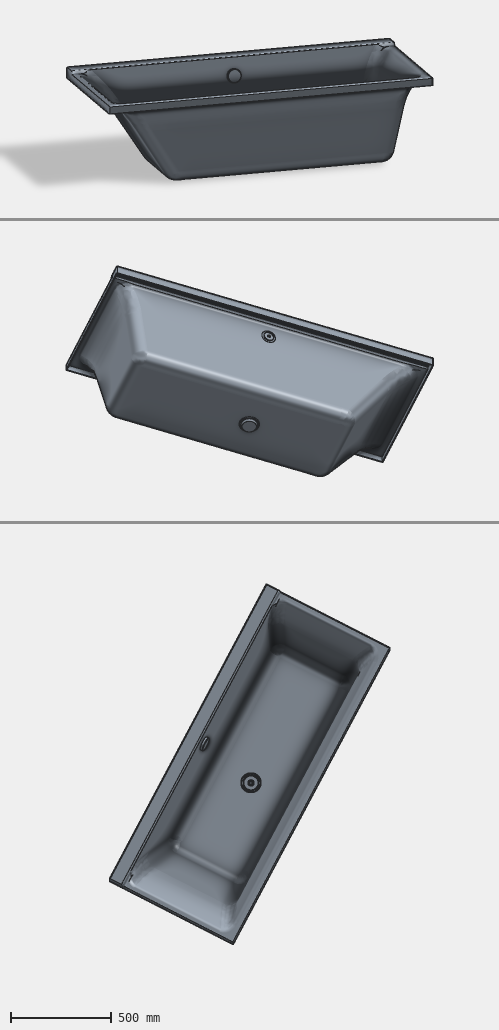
import cadquery as cq
import math

LENGTH = 1700.1
WIDTH = 700.25
DECK_TOP = 495.0
RIM_TOP = 478.0
SKIRT_BOTTOM = 437.0
WALL = 5.0
FLOOR = 19.0
SEAM = 305.0
FORM_TOP = 490.0

LEFT = -WIDTH / 2
RIGHT = WIDTH / 2
FOOT = -LENGTH / 2
HEAD = LENGTH / 2

LEFT_AT_FLOOR, LEFT_AT_RIM = 140.0, 79.5
RIGHT_AT_FLOOR, RIGHT_AT_SEAM, RIGHT_FLARE = 123.0, 94.0, 468.0
HEAD_AT_FLOOR, HEAD_AT_SEAM, HEAD_FLARE = 167.0, 113.0, 432.0
FOOT_AT_FLOOR, FOOT_AT_SEAM, FOOT_FLARE = 371.0, 189.0, 671.0

BASIN_ROUND = 61.0
LIP_ROUND = 30.0

DECK_EDGE_ROUND = 10.0
RIGHT_EDGE_ROUND = 8.0
SKIRT_CORNER_ROUND = 5.0
DECK_FLAT = 68.0
DECK_STEP_END = 93.0

DRAIN_X = LEFT + 357.0
DRAIN_TOP_DIAMETER = 102.0
DRAIN_BOTTOM_DIAMETER = 72.0
DISH_DIAMETER = 82.0
DISH_DEPTH = 5.0
PLUG_DIAMETER = 72.0
PLUG_HEIGHT = 2.0
PLUG_GROOVE_OUTER = 32.0
PLUG_GROOVE_INNER = 24.0
PLUG_GROOVE_DEPTH = 3.0
PLUG_BORE = 14.5
PLUG_BORE_DEPTH = 6.0

OVERFLOW_Z = 397.0
OVERFLOW_CAP_DIAMETER = 72.0
OVERFLOW_CAP_THICKNESS = 15.0
OVERFLOW_CAP_CHAMFER = 3.0
OVERFLOW_BODY_DIAMETER = 52.0
OVERFLOW_BORE = 14.5
OVERFLOW_BORE_DEPTH = 12.0


def tall_box(x_min, x_max, y_min, y_max, z_min, z_max):
    """An axis-aligned box between the given limits."""
    size = (x_max - x_min, y_max - y_min, z_max - z_min)
    return cq.Workplane("XY").box(*size, centered=False).translate((x_min, y_min, z_min))


def flared_wall(at_floor, at_seam, flare, offset):
    """Wall points as (distance from rim edge, height): foot, seam, arc middle and top.

    The wall leans straight from the floor to the seam, then curves outwards along a
    tangent arc. The offset moves the wall outwards and the floor down.
    """
    lean = math.atan2(at_floor - at_seam, SEAM - FLOOR)
    centre = at_seam - flare * math.cos(lean)
    centre_z = SEAM - flare * math.sin(lean)
    radius = flare - offset
    top_lean = math.asin((FORM_TOP - centre_z) / radius)

    def on_arc(angle):
        return (centre + radius * math.cos(angle), centre_z + radius * math.sin(angle))

    seam = on_arc(lean)
    bottom = FLOOR - offset
    foot = (seam[0] + (seam[1] - bottom) * math.tan(lean), bottom)
    return foot, seam, on_arc((lean + top_lean) / 2), on_arc(top_lean)


def straight_wall(at_floor, at_rim, offset):
    """Foot and top of a plain leaning wall, as (distance from rim edge, height)."""
    slope = (at_floor - at_rim) / (RIM_TOP - FLOOR)
    shift = offset * math.hypot(1, slope)

    def at_height(z):
        return (at_floor - slope * (z - FLOOR) - shift, z)

    return at_height(FLOOR - offset), at_height(FORM_TOP)


def from_low_side(edge, points):
    return [(edge + distance, z) for distance, z in points]


def from_high_side(edge, points):
    return [(edge - distance, z) for distance, z in points]


def basin_form(offset):
    """Solid filling the basin up to FORM_TOP, grown outwards by the offset."""
    left_wall = straight_wall(LEFT_AT_FLOOR, LEFT_AT_RIM, offset)
    right_wall = flared_wall(RIGHT_AT_FLOOR, RIGHT_AT_SEAM, RIGHT_FLARE, offset)
    foot_wall = flared_wall(FOOT_AT_FLOOR, FOOT_AT_SEAM, FOOT_FLARE, offset)
    head_wall = flared_wall(HEAD_AT_FLOOR, HEAD_AT_SEAM, HEAD_FLARE, offset)

    left_foot, left_top = from_low_side(LEFT, left_wall)
    right_foot, right_seam, right_middle, right_top = from_high_side(RIGHT, right_wall)
    across = (
        cq.Workplane("XZ")
        .moveTo(*left_top)
        .lineTo(*left_foot)
        .lineTo(*right_foot)
        .lineTo(*right_seam)
        .threePointArc(right_middle, right_top)
        .close()
        .extrude(LENGTH / 2, both=True)
    )

    foot_foot, foot_seam, foot_middle, foot_top = from_low_side(FOOT, foot_wall)
    head_foot, head_seam, head_middle, head_top = from_high_side(HEAD, head_wall)
    along = (
        cq.Workplane("YZ")
        .moveTo(*foot_top)
        .threePointArc(foot_middle, foot_seam)
        .lineTo(*foot_foot)
        .lineTo(*head_foot)
        .lineTo(*head_seam)
        .threePointArc(head_middle, head_top)
        .close()
        .extrude(WIDTH / 2, both=True)
    )
    round_radius = BASIN_ROUND + offset
    form = across.intersect(along)
    form = form.edges("not(#Z or |X or |Y)").fillet(round_radius)
    return form.faces("<Z").edges().fillet(round_radius)


def lipped_form(offset):
    """The basin form opening out over the whole rim through a rounded lip."""
    slab_bottom = RIM_TOP - offset
    slab = tall_box(LEFT, RIGHT, FOOT, HEAD, slab_bottom, FORM_TOP)
    form = basin_form(offset).union(slab)
    junction = cq.selectors.BoxSelector(
        (LEFT + WALL, FOOT + WALL, slab_bottom - WALL / 2),
        (RIGHT - WALL, HEAD - WALL, slab_bottom + WALL / 2),
    )
    return form.edges(junction).fillet(LIP_ROUND - offset)


def rim_block():
    """Outer envelope of the low rim and its skirt."""
    block = tall_box(LEFT, RIGHT, FOOT, HEAD, SKIRT_BOTTOM, RIM_TOP)
    block = block.edges("|Z").fillet(SKIRT_CORNER_ROUND)
    return block.faces(">X").edges(">Z").fillet(RIGHT_EDGE_ROUND)


def deck_block():
    """Raised deck along the -X side, with the step that runs down to the low rim."""
    step_width = DECK_STEP_END - DECK_FLAT
    step_height = DECK_TOP - RIM_TOP
    step_radius = (step_width**2 + step_height**2) / (4 * step_height)
    half_turn = math.asin(step_width / 2 / step_radius) / 2
    arc_run = step_radius * math.sin(half_turn)
    arc_drop = step_radius * (1 - math.cos(half_turn))
    flat_end = LEFT + DECK_FLAT
    step_end = LEFT + DECK_STEP_END
    deck = (
        cq.Workplane("XZ")
        .moveTo(LEFT, SKIRT_BOTTOM)
        .lineTo(LEFT, DECK_TOP)
        .lineTo(flat_end, DECK_TOP)
        .threePointArc(
            (flat_end + arc_run, DECK_TOP - arc_drop),
            ((flat_end + step_end) / 2, (DECK_TOP + RIM_TOP) / 2),
        )
        .threePointArc((step_end - arc_run, RIM_TOP + arc_drop), (step_end, RIM_TOP))
        .lineTo(step_end, SKIRT_BOTTOM)
        .close()
        .extrude(LENGTH / 2, both=True)
    )
    deck = deck.edges("|Z and <X").fillet(SKIRT_CORNER_ROUND)
    return deck.faces("<X").edges(">Z").fillet(DECK_EDGE_ROUND)


def make_tub_blank():
    """Thin basin shell hanging in a hollow rim, with the deck along one side."""
    basin = basin_form(0)
    grown_basin = basin_form(WALL)
    outer_skin = lipped_form(WALL)
    inside = (LEFT + WALL, RIGHT - WALL, FOOT + WALL, HEAD - WALL, SKIRT_BOTTOM, RIM_TOP)
    rim_hollow = tall_box(*inside).cut(outer_skin)
    below_rim = tall_box(LEFT, RIGHT, FOOT, HEAD, 0, SKIRT_BOTTOM)
    bowl = grown_basin.intersect(below_rim)
    deck_hollow = tall_box(
        LEFT + WALL, LEFT + DECK_FLAT, FOOT + WALL, HEAD - WALL, SKIRT_BOTTOM, DECK_TOP - WALL
    ).cut(grown_basin)

    tub = rim_block().cut(rim_hollow).union(bowl).cut(lipped_form(0))
    deck = deck_block().cut(rim_hollow).cut(basin)
    return tub.union(deck).cut(deck_hollow)


def drain_cone():
    """Tapered outside of the drain, from the tub floor down to its lower face."""
    return (
        cq.Workplane("XY", origin=(DRAIN_X, 0, 0))
        .circle(DRAIN_BOTTOM_DIAMETER / 2)
        .workplane(offset=FLOOR)
        .circle(DRAIN_TOP_DIAMETER / 2)
        .loft(ruled=True)
    )


def make_drain():
    """Dished drain with a round plug, a ring groove and a blind bore."""
    dish_z = FLOOR - DISH_DEPTH
    plug_top = dish_z + PLUG_HEIGHT

    def level(z):
        return cq.Workplane("XY", origin=(DRAIN_X, 0, z))

    dish = (
        level(dish_z)
        .circle(DISH_DIAMETER / 2)
        .workplane(offset=DISH_DEPTH)
        .circle(DRAIN_TOP_DIAMETER / 2)
        .loft(ruled=True)
    )
    plug = level(dish_z).circle(PLUG_DIAMETER / 2).extrude(PLUG_HEIGHT)
    groove = (
        level(plug_top)
        .circle(PLUG_GROOVE_OUTER / 2)
        .circle(PLUG_GROOVE_INNER / 2)
        .extrude(-PLUG_GROOVE_DEPTH)
    )
    bore = level(plug_top).circle(PLUG_BORE / 2).extrude(-PLUG_BORE_DEPTH)
    return drain_cone().cut(dish).union(plug).cut(groove).cut(bore)


def overflow_plane(height_above_wall):
    """Plane parallel to the left wall, this far inside its inner face."""
    lean = math.atan2(LEFT_AT_FLOOR - LEFT_AT_RIM, RIM_TOP - FLOOR)
    wall_x = LEFT + LEFT_AT_FLOOR - math.tan(lean) * (OVERFLOW_Z - FLOOR)
    normal = (math.cos(lean), 0, math.sin(lean))
    origin = (
        wall_x + height_above_wall * normal[0],
        0,
        OVERFLOW_Z + height_above_wall * normal[2],
    )
    return cq.Workplane(cq.Plane(origin, xDir=(0, 1, 0), normal=normal))


def overflow_shank():
    """Round body that passes through the tub wall."""
    return overflow_plane(-WALL).circle(OVERFLOW_BODY_DIAMETER / 2).extrude(WALL)


def make_overflow():
    """Chamfered cap on the inside of the wall, with its shank and a blind bore."""
    cap = (
        overflow_plane(0)
        .circle(OVERFLOW_CAP_DIAMETER / 2)
        .extrude(OVERFLOW_CAP_THICKNESS)
    )
    cap_face = cq.selectors.NearestToPointSelector(
        overflow_plane(OVERFLOW_CAP_THICKNESS).val().toTuple()
    )
    cap = cap.faces(cap_face).chamfer(OVERFLOW_CAP_CHAMFER)
    bore = overflow_plane(-WALL).circle(OVERFLOW_BORE / 2).extrude(OVERFLOW_BORE_DEPTH)
    return cap.union(overflow_shank()).cut(bore)


tub = make_tub_blank().cut(drain_cone()).cut(overflow_shank())
drain = make_drain()
overflow = make_overflow()

result = cq.Compound.makeCompound(
    [*tub.solids().vals(), *drain.solids().vals(), *overflow.solids().vals()]
)